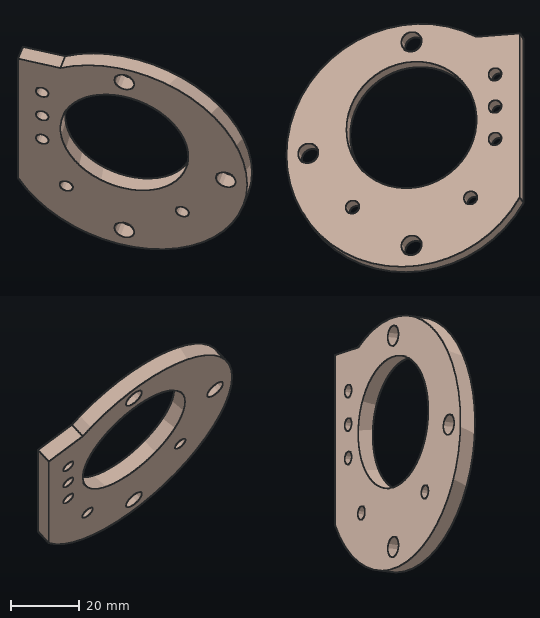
import cadquery as cq

disc_radius = 37.5
thickness = 5.0
flat_left_x = -32.5
shoulder_z = 32.0

bore_diameter = 39.0
bore_z = 6.3

mount_diameter = 6.0
mount_offset = 31.0
top_mount_z = shoulder_z

pair_diameter = 4.0
pair_offset = 17.7

column_diameter = 3.8
column_x = -25.05
column_pitch = 10.0
column_count = 3


def extrude_along_y(sketch):
    return sketch.extrude(thickness / 2, both=True)


def make_plate():
    disc = extrude_along_y(cq.Workplane("XZ").circle(disc_radius))
    trim = cq.Workplane("XY").box(
        disc_radius - flat_left_x, thickness, 2 * disc_radius
    ).translate(((disc_radius + flat_left_x) / 2, 0, 0))
    corner = extrude_along_y(
        cq.Workplane("XZ").moveTo(flat_left_x, 0).lineTo(0, 0)
        .lineTo(0, shoulder_z).lineTo(flat_left_x, shoulder_z).close()
    )
    return disc.intersect(trim).union(corner)


def drill(plate, diameter, centres):
    """Cut round through holes at the given (x, z) centres."""
    holes = cq.Workplane("XZ").pushPoints(centres).circle(diameter / 2)
    return plate.cut(extrude_along_y(holes))


mount_centres = [(0, top_mount_z), (mount_offset, 0), (0, -mount_offset)]
pair_centres = [(side * pair_offset, -pair_offset) for side in (-1, 1)]
column_centres = [(column_x, i * column_pitch) for i in range(column_count)]

result = make_plate()
result = drill(result, bore_diameter, [(0, bore_z)])
result = drill(result, mount_diameter, mount_centres)
result = drill(result, pair_diameter, pair_centres)
result = drill(result, column_diameter, column_centres)